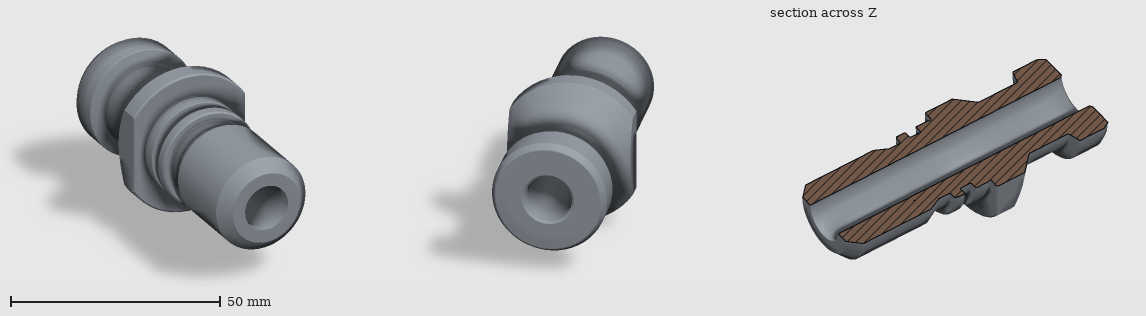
import cadquery as cq
import math


total_length = 74.0
head_chamfer_end = 1.9
head_end = 10.0
flange_rear = 34.0
relief_floor_end = 34.4
relief_end = 35.0
groove_start = 38.4
groove_width = 3.15
rear_land_end = 44.4
shank_neck_end = 47.65
shank_start = 51.15

head_diameter = 28.0
head_face_diameter = 25.8
grip_diameter = 21.0
flange_diameter = 36.0
relief_diameter = 24.6
land_diameter = 25.0
groove_diameter = 20.8
shank_neck_diameter = 20.5
shank_diameter = 24.0
bore_diameter = 11.5

flats_width = 30.0
flange_rim_width = 5.1
head_back_angle = 15.0

shank_chamfer = 3.0
bore_chamfer = 0.6
flange_rim_chamfer = 0.4
flats_rear_chamfer = 0.3
land_rear_chamfer = 0.4
head_front_edge_radius = 0.5
head_back_edge_radius = 0.3
face_edge_radius = 0.4
grip_front_radius = 0.5
grip_rear_radius = 1.0
flange_edge_radius = 0.4
land_edge_radius = 0.2
groove_root_radius = 0.4
neck_root_radius = 0.5
relief_root_radius = 0.2


def stations():
    """Profile corners as (x, radius, edge radius), from the head face to the shank end."""
    head_r = head_diameter / 2
    grip_r = grip_diameter / 2
    flange_r = flange_diameter / 2
    land_r = land_diameter / 2
    groove_r = groove_diameter / 2
    neck_r = shank_neck_diameter / 2
    shank_r = shank_diameter / 2
    relief_r = relief_diameter / 2
    rim_start = flange_rear - flange_rim_width
    cone_start = rim_start - (flange_r - grip_r)
    head_back = head_end - (head_r - grip_r) * math.tan(math.radians(head_back_angle))
    groove_end = groove_start + groove_width
    return [
        (0, head_face_diameter / 2, face_edge_radius),
        (head_chamfer_end, head_r, head_front_edge_radius),
        (head_back, head_r, head_back_edge_radius),
        (head_end, grip_r, grip_front_radius),
        (cone_start, grip_r, grip_rear_radius),
        (rim_start, flange_r, flange_edge_radius),
        (flange_rear - flange_rim_chamfer, flange_r, 0),
        (flange_rear, flange_r - flange_rim_chamfer, 0),
        (flange_rear, relief_r, relief_root_radius),
        (relief_floor_end, relief_r, 0),
        (relief_end, land_r, 0),
        (groove_start, land_r, land_edge_radius),
        (groove_start, groove_r, groove_root_radius),
        (groove_end, groove_r, groove_root_radius),
        (groove_end, land_r, land_edge_radius),
        (rear_land_end - land_rear_chamfer, land_r, 0),
        (rear_land_end, land_r - land_rear_chamfer, 0),
        (rear_land_end, neck_r, neck_root_radius),
        (shank_neck_end, neck_r, 0),
        (shank_start, shank_r, 0),
        (total_length - shank_chamfer, shank_r, 0),
        (total_length, shank_r - shank_chamfer, 0),
    ]


def rounded_profile(corners):
    """Half section between the axis and the corners, each corner rounded by its edge radius."""
    profile = cq.Workplane("XY").moveTo(0, 0)
    last = len(corners) - 1
    for i, (x, r, radius) in enumerate(corners):
        corner = cq.Vector(x, r)
        if radius == 0:
            profile = profile.lineTo(x, r)
            continue
        before = cq.Vector(*corners[i - 1][:2]) if i > 0 else cq.Vector(0, 0)
        after = cq.Vector(*corners[i + 1][:2]) if i < last else cq.Vector(x, 0)
        to_before = (before - corner).normalized()
        to_after = (after - corner).normalized()
        half_angle = to_before.getAngle(to_after) / 2
        bisector = (to_before + to_after).normalized()
        setback = radius / math.tan(half_angle)
        apex = corner + bisector * (radius / math.sin(half_angle) - radius)
        start = corner + to_before * setback
        end = corner + to_after * setback
        profile = profile.lineTo(start.x, start.y)
        profile = profile.threePointArc((apex.x, apex.y), (end.x, end.y))
    return profile.lineTo(corners[-1][0], 0).close()


def turned_body():
    """Solid of revolution about the X axis, before the flats and the bore."""
    return rounded_profile(stations()).revolve(360, (0, 0, 0), (1, 0, 0))


def flange_envelope():
    """Bar as wide as the flats, chamfered at the flange rear, plus room for the shank."""
    bar = cq.Workplane("YZ").rect(flats_width, flange_diameter).extrude(flange_rear)
    bar = bar.faces(">X").edges("|Z").chamfer(flats_rear_chamfer)
    shank_room = cq.Workplane("YZ").circle(land_diameter / 2).extrude(total_length)
    return bar.union(shank_room)


def bore_cutter():
    """Through bore with a countersunk mouth in the head face."""
    bore_r = bore_diameter / 2
    bore = cq.Workplane("YZ").circle(bore_r).extrude(total_length)
    mouth = cq.Solid.makeCone(
        bore_r + bore_chamfer, bore_r, bore_chamfer, cq.Vector(0, 0, 0), cq.Vector(1, 0, 0)
    )
    return bore.union(cq.Workplane(obj=mouth))


result = turned_body().intersect(flange_envelope()).cut(bore_cutter())